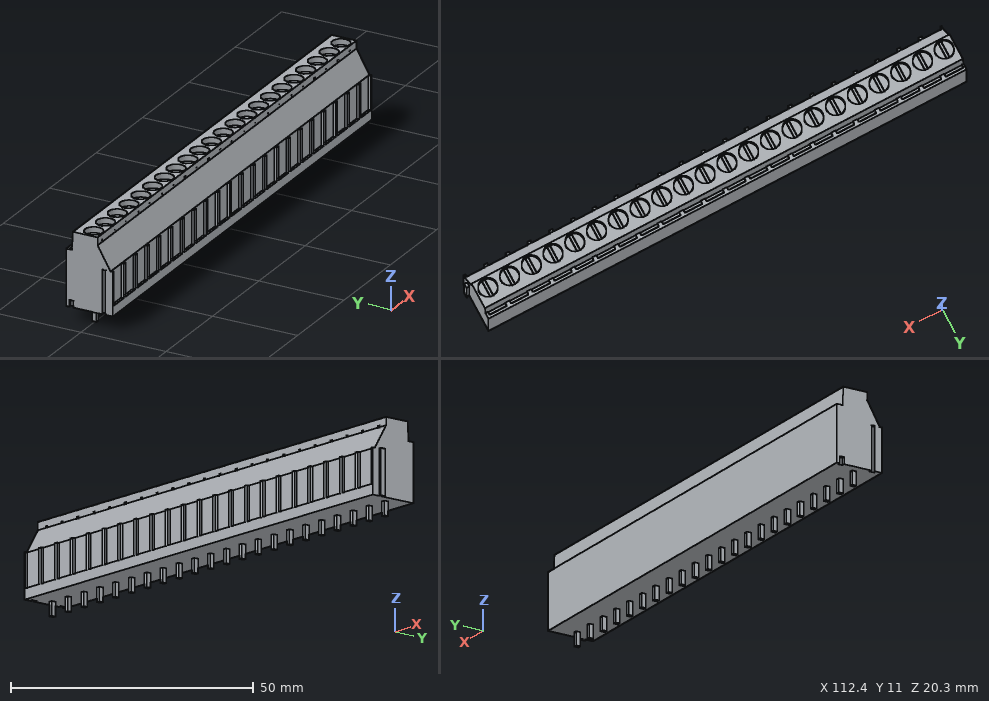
import cadquery as cq

pole_count = 22
total_length = 112.4
key_projection = 0.7
body_length = total_length - key_projection
pitch = body_length / pole_count
first_pole_x = 2.5
pole_xs = [first_pole_x + i * pitch for i in range(pole_count)]

body_depth = 11.0
total_height = 20.3
pin_length = 3.1
body_height = total_height - pin_length
rib_top_z = 10.1
rib_depth = 0.6
slope_top_y = 3.6
slope_top_z = 15.4
ledge_z = 13.0
ledge_front_y = 9.7
back_lean_y = 9.4

pocket_width = 4.3
pocket_bottom_z = 2.4

screw_y = 5.8
well_diameter = 4.0
well_depth = 1.3
slot_width = 0.7
slot_depth = 0.7

rear_pocket_width = 4.0
rear_pocket_depth = 0.6
rear_pocket_back_y = 10.3

pin_width = 0.8
pin_thickness = 1.0
pin_y = body_depth / 2

key_y = 2.1
key_root_width = 0.7
key_tip_width = 1.2
key_height = rib_top_z

notch_y = 9.8
notch_width = 1.0
notch_height = 1.6
notch_depth = 0.7


def box(x_center, y_range, z_range, width):
    """Box centred on x_center that fills the given Y and Z ranges."""
    y_min, y_max = y_range
    z_min, z_max = z_range
    corner = (x_center - width / 2, y_min, z_min)
    return cq.Workplane("XY").box(width, y_max - y_min, z_max - z_min, centered=False).translate(corner)


def housing():
    """Full-length extrusion with a sloped front and a stepped back."""
    outline = [
        (0, 0),
        (body_depth, 0),
        (body_depth, ledge_z),
        (ledge_front_y, ledge_z),
        (back_lean_y, body_height),
        (slope_top_y, body_height),
        (slope_top_y, slope_top_z),
        (rib_depth, rib_top_z),
        (0, rib_top_z),
    ]
    return cq.Workplane("YZ").polyline(outline).close().extrude(body_length)


def key_prism(x_root):
    """Vertical dovetail bar, narrow at the plane x = x_root and wider towards +X."""
    outline = [
        (x_root, key_y - key_root_width / 2),
        (x_root + key_projection, key_y - key_tip_width / 2),
        (x_root + key_projection, key_y + key_tip_width / 2),
        (x_root, key_y + key_root_width / 2),
    ]
    return cq.Workplane("XY").polyline(outline).close().extrude(key_height)


def pole_cuts(x):
    """Everything removed from the housing at one pole."""
    floor_z = body_height - well_depth
    well_radius = well_diameter / 2
    well = cq.Workplane("XY", origin=(x, screw_y, floor_z)).circle(well_radius).extrude(well_depth)
    slot = box(x, (screw_y - well_radius, screw_y + well_radius), (floor_z - slot_depth, floor_z), slot_width)
    front_pocket = box(x, (0, rib_depth), (pocket_bottom_z, rib_top_z), pocket_width)
    rear_pocket = box(
        x, (ledge_front_y, rear_pocket_back_y), (ledge_z - rear_pocket_depth, ledge_z), rear_pocket_width
    )
    return [cut.val() for cut in (well, slot, front_pocket, rear_pocket)]


def pin(x):
    y_range = (pin_y - pin_thickness / 2, pin_y + pin_thickness / 2)
    return box(x, y_range, (-pin_length, 0), pin_width).val()


def end_notch():
    y_range = (notch_y - notch_width / 2, notch_y + notch_width / 2)
    return box(notch_depth / 2, y_range, (0, notch_height), notch_depth).val()


cuts = [cut for x in pole_xs for cut in pole_cuts(x)]
cuts.append(key_prism(0).val())
cuts.append(end_notch())
additions = [pin(x) for x in pole_xs]
additions.append(key_prism(body_length).val())

body = housing().val().cut(*cuts).fuse(*additions)
result = cq.Workplane(body)